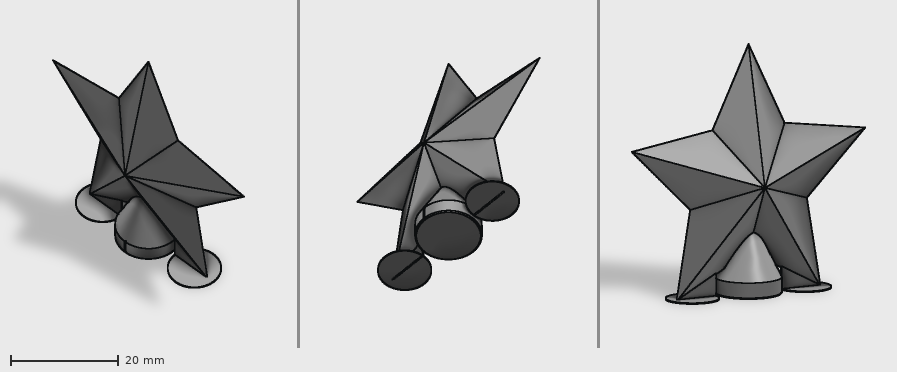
import cadquery as cq
import math

span = 50.0
height = 47.3
half_depth = 6.25
points = 5
tip_radius = span / 2 / math.sin(2 * math.pi / points)
inner_radius = tip_radius / 2
center_z = height - tip_radius

drum_diameter = 12.5
drum_height = 3.1
cone_height = 12.5
base_chamfer = 0.25

groove_width = 0.4
groove_depth = 0.25

pad_diameter = 10.0
pad_thickness = 0.2
pad_x = 12.0
web_thickness = 0.3
web_inner_x = pad_x - pad_diameter / 2


def star_outline():
    """Tips and inner corners in the XZ plane, alternating, starting at the top tip."""
    corners = []
    for i in range(2 * points):
        radius = tip_radius if i % 2 == 0 else inner_radius
        angle = math.pi / 2 + i * math.pi / points
        corners.append(cq.Vector(radius * math.cos(angle), 0, center_z + radius * math.sin(angle)))
    return corners


def triangle(a, b, c):
    return cq.Face.makeFromWires(cq.Wire.makePolygon([a, b, c], close=True))


def make_star():
    """Double pyramid over the star outline, trimmed to the ground plane."""
    corners = star_outline()
    faces = []
    for side in (-1, 1):
        peak = cq.Vector(0, side * half_depth, center_z)
        for i, corner in enumerate(corners):
            faces.append(triangle(corner, corners[(i + 1) % len(corners)], peak))
    star = cq.Workplane(cq.Solid.makeSolid(cq.Shell.makeShell(faces)))
    above_ground = cq.Workplane().box(2 * span, 2 * span, height, centered=(True, True, False))
    return above_ground.intersect(star)


def make_stand():
    radius = drum_diameter / 2
    profile = [
        (0, 0),
        (radius - base_chamfer, 0),
        (radius, base_chamfer),
        (radius, drum_height),
        (0, drum_height + cone_height),
    ]
    stand = cq.Workplane("XZ").polyline(profile).close().revolve(360, (0, 0), (0, 1))
    groove = (
        cq.Workplane("XY", origin=(0, -radius, base_chamfer))
        .rect(groove_width, 2 * groove_depth)
        .extrude(drum_height - base_chamfer)
    )
    return stand.cut(groove)


def make_foot(side):
    """Round pad and web under one lower arm; side is -1 or 1."""
    ridge_slope = 1 / math.tan(math.pi / points)
    web_top = center_z - ridge_slope * web_inner_x
    web_outer_x = center_z / ridge_slope
    pad = cq.Workplane().center(side * pad_x, 0).circle(pad_diameter / 2).extrude(pad_thickness)
    web = (
        cq.Workplane("XZ")
        .polyline([(side * web_inner_x, 0), (side * web_outer_x, 0), (side * web_inner_x, web_top)])
        .close()
        .extrude(web_thickness / 2, both=True)
    )
    return pad.union(web)


result = make_star().union(make_stand())
for side in (-1, 1):
    result = result.union(make_foot(side))